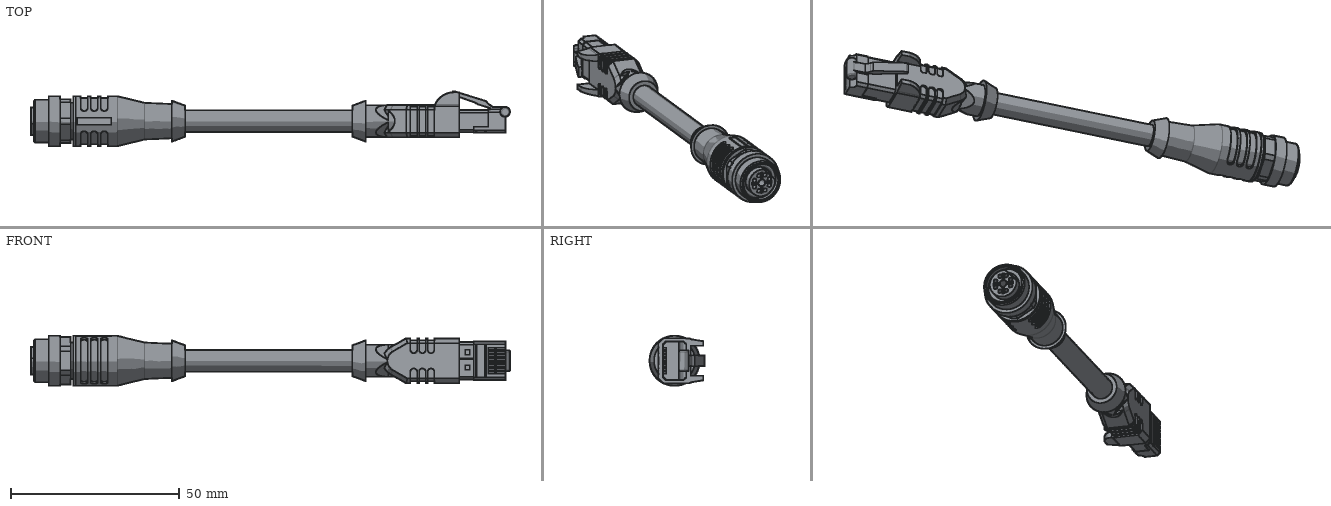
import cadquery as cq
import math

overall_length = 142.4
overall_depth = 16.4

insert_diameter = 8.3
key_flat_distance = 3.4
key_height = insert_diameter / 2 - key_flat_distance
key_length = 2.1
contact_count = 8
contact_diameter = 1.15
contact_circle_radius = 2.5
contact_depth = 4.3
centre_hole_diameter = 2.1
cross_span = 6.3
cross_width = 0.5
cross_depth = 0.4
shell_start = 0.9
shell_diameter = 12.8
shell_bore = 11.0
shell_chamfer = 0.4
seal_seat = 2.8
collar_start = 5.3
collar_diameter = 15.0
hex_start = 8.7
hex_flats = 13.1
hex_diameter = 14.2
neck_start = 11.8
neck_diameter = 11.0
grip_start = 12.5
grip_lip = 0.7
lip_groove_width = 0.1
lip_groove_depth = 0.07
grip_end = 25.6
taper_end = 33.7
taper_diameter = 11.0
tail_end = 41.9
tail_diameter = 10.3

cable_diameter = 6.5
cone_length = 4.0
cone_large_diameter = 12.2
cone_small_diameter = 9.3
plug_cone_start = 95.5

grip_slot_first = 15.8
grip_slot_pitch = 3.0
grip_slot_width = 2.1
grip_slot_edge = 3.0
grip_slot_floor_diameter = 13.8
panel_start = 13.8
panel_length = 10.1
panel_width = 2.0
panel_depth = 0.3

sleeve_diameter = 9.5
relief_start = 102.5
relief_end = 106.2
relief_angle = 18
boot_tip = 104.5
boot_shoulder = 106.8
boot_shoulder_half = 4.0
boot_full = 111.5
boot_end = 127.3
boot_half_height = 6.7
boot_half_width = 4.8
boot_chamfer = 1.4
boot_slot_first = 113.8
boot_slot_pitch = 2.5
boot_slot_width = 2.0
boot_slot_edge = 2.3
boot_slot_depth = 0.5

guard_start = 120.0
guard_crest = 124.7
guard_top = 8.5
guard_arc_middle = (121.9, 7.3)
guard_inner = 4.4
guard_outer_top = 5.8
guard_outer_base = 6.4
guard_flare_top = 5.0
guard_flare_base = 4.4
guard_root = 2.8

plug_end = 141.1
plug_half_height = 11.5 / 2
plug_half_width = 7.0 / 2
plug_chamfer = 0.9
shield_start = 131.6
shield_full = 136.0
shield_shelf = -1.7
core_recess = 0.1
plug_root = 1.4
band_start = 132.6
band_end = 135.3
band_groove_width = 0.4
band_half_height = 4.8
band_depth = 0.3
slot_count = 8
slot_pitch = 1.03
slot_start = 135.8
slot_width = 0.5
slot_depth = 1.0
bridge_centre = 138.1
bridge_width = 0.4
window_x = 129.7
window_places = (2.5, -2.0)
window_size = 1.4
window_depth = 0.4
seam_z = 0.5
seam_width = 0.21

latch_half_width = 1.5
lever_overlap = 0.1
lever_top = overall_depth - collar_diameter / 2
knob_radius = 3.0 / 2
knob_half_length = 3.1
knob_x = overall_length - knob_radius
knob_top = 4.3
knob_y = knob_top - knob_radius
knob_fillet = 0.4


def axis_cylinder(start, end, diameter):
    return cq.Workplane("YZ", origin=(start, 0, 0)).circle(diameter / 2).extrude(end - start)


def slot_row(first, pitch, width, inner_edge, outer_edge, half_depth):
    """Two facing rows of three slots, cut along Z, with round inner ends at +/- inner_edge."""
    length = 2 * (outer_edge - inner_edge)
    places = [(first + i * pitch, side * outer_edge) for i in range(3) for side in (-1, 1)]
    row = cq.Workplane("XY").pushPoints(places).slot2D(length, width, 90)
    return row.extrude(half_depth, both=True)


def make_turned_body():
    """Solid of revolution from the shell to the plug sleeve."""
    plug_cone_end = plug_cone_start + cone_length
    profile = [
        (shell_start, 0),
        (shell_start, shell_diameter / 2 - shell_chamfer),
        (shell_start + shell_chamfer, shell_diameter / 2),
        (collar_start, shell_diameter / 2),
        (collar_start, collar_diameter / 2),
        (hex_start, collar_diameter / 2),
        (hex_start, neck_diameter / 2),
        (grip_start, neck_diameter / 2),
        (grip_start, collar_diameter / 2),
        (grip_end, collar_diameter / 2),
        (taper_end, taper_diameter / 2),
        (tail_end, tail_diameter / 2),
        (tail_end, cone_large_diameter / 2),
        (tail_end + cone_length, cone_small_diameter / 2),
        (tail_end + cone_length, cable_diameter / 2),
        (plug_cone_start, cable_diameter / 2),
        (plug_cone_start, cone_small_diameter / 2),
        (plug_cone_end, cone_large_diameter / 2),
        (plug_cone_end, sleeve_diameter / 2),
        (boot_full, sleeve_diameter / 2),
        (boot_full, 0),
    ]
    return cq.Workplane("XY").polyline(profile).close().revolve(360, (0, 0, 0), (1, 0, 0))


def make_hex():
    """Hexagon with corners up and down, rounded off by a cylinder."""
    across_corners = hex_flats / math.cos(math.pi / 6)
    length = neck_start - hex_start
    hexagon = cq.Workplane("YZ", origin=(hex_start, 0, 0)).transformed(rotate=(0, 0, 90))
    hexagon = hexagon.polygon(6, across_corners).extrude(length)
    return hexagon.intersect(axis_cylinder(hex_start, neck_start, hex_diameter))


def make_ring_groove():
    """Annular groove around the insert whose floor is the round crown of a seal."""
    inner = insert_diameter / 2
    outer = shell_bore / 2
    seal_radius = (outer - inner) / 2
    return (
        cq.Workplane("XY")
        .moveTo(shell_start, inner)
        .lineTo(seal_seat, inner)
        .threePointArc((seal_seat - seal_radius, inner + seal_radius), (seal_seat, outer))
        .lineTo(shell_start, outer)
        .close()
        .revolve(360, (0, 0, 0), (1, 0, 0))
    )


def make_key_flat():
    """Keying flat on one diagonal of the insert, down to the seal."""
    key = cq.Workplane("XY").box(key_length, insert_diameter, key_height, centered=(False, True, False))
    key = key.translate((0, 0, key_flat_distance)).rotate((0, 0, 0), (1, 0, 0), 45)
    return key.intersect(axis_cylinder(0, key_length, insert_diameter))


def make_contact_cuts():
    """Ring of contact holes around a centre hole, parted by a shallow shield cross."""
    half_step = 180 / contact_count
    contacts = (
        cq.Workplane("YZ")
        .polarArray(contact_circle_radius, half_step, 360, contact_count)
        .circle(contact_diameter / 2)
        .extrude(contact_depth)
    )
    cross = cq.Workplane("YZ").rect(cross_span, cross_width).extrude(cross_depth)
    cross = cross.union(cross.rotate((0, 0, 0), (1, 0, 0), 90))
    return contacts.union(cross).union(axis_cylinder(0, contact_depth, centre_hole_diameter))


def make_grip_cuts():
    """Finger slots, marking panel and the fine groove behind the front lip."""
    slots = slot_row(
        grip_slot_first, grip_slot_pitch, grip_slot_width, grip_slot_edge, collar_diameter, collar_diameter
    )
    slots = slots.cut(axis_cylinder(grip_start, grip_end, grip_slot_floor_diameter))
    panel = cq.Workplane("XY").box(panel_length, panel_width, panel_depth, centered=(False, True, False))
    panel = panel.translate((panel_start, 0, collar_diameter / 2 - panel_depth))
    groove_start = grip_start + grip_lip
    lip_groove = axis_cylinder(groove_start, groove_start + lip_groove_width, collar_diameter)
    lip_groove = lip_groove.cut(axis_cylinder(grip_start, grip_end, collar_diameter - 2 * lip_groove_depth))
    return slots.union(panel).union(lip_groove)


def make_sleeve_reliefs():
    """Four flats that slope down into the sleeve, one on each diagonal."""
    size = sleeve_diameter
    flat = (
        cq.Workplane("XY")
        .box(size, size, size, centered=(False, True, False))
        .rotate((0, 0, 0), (0, 1, 0), relief_angle)
        .translate((relief_start, 0, sleeve_diameter / 2))
        .intersect(axis_cylinder(relief_start, relief_end, 2 * sleeve_diameter))
    )
    flats = cq.Workplane("XY")
    for diagonal in (45, 135, 225, 315):
        flats = flats.union(flat.rotate((0, 0, 0), (1, 0, 0), diagonal))
    return flats


def boot_block(inset):
    """Chamfered boot with a round-nosed, tapered front; inset shrinks its height, width and chamfer."""
    half_height = boot_half_height - inset
    half_width = boot_half_width - inset
    outline = (
        cq.Workplane("XZ")
        .moveTo(boot_end, half_height)
        .lineTo(boot_full, half_height)
        .lineTo(boot_shoulder, boot_shoulder_half)
        .threePointArc((boot_tip, 0), (boot_shoulder, -boot_shoulder_half))
        .lineTo(boot_full, -half_height)
        .lineTo(boot_end, -half_height)
        .close()
        .extrude(half_width, both=True)
    )
    return outline.faces("<Y or >Y").edges("not(>X)").chamfer(boot_chamfer - inset)


def make_boot():
    """Boot with finger slots down to a slightly smaller inner block."""
    slots = slot_row(
        boot_slot_first,
        boot_slot_pitch,
        boot_slot_width,
        boot_slot_edge,
        2 * boot_half_height,
        2 * boot_half_width,
    )
    slots = slots.rotate((0, 0, 0), (1, 0, 0), 90)
    return boot_block(0).cut(slots.cut(boot_block(boot_slot_depth)))


def make_guards():
    """Two upright guards, rounded at the front, whose outer sides flare into the boot."""
    side_shape = (
        cq.Workplane("XY")
        .moveTo(guard_start, guard_root)
        .lineTo(guard_start, boot_half_width)
        .threePointArc(guard_arc_middle, (guard_crest, guard_top))
        .lineTo(boot_end, guard_top)
        .lineTo(boot_end, guard_root)
        .close()
        .extrude(boot_half_height)
    )
    section = [
        (guard_root, guard_inner),
        (guard_top, guard_inner),
        (guard_top, guard_outer_top),
        (guard_flare_top, guard_outer_base),
        (guard_flare_base, boot_half_height),
        (guard_root, boot_half_height),
    ]
    section = cq.Workplane("YZ", origin=(guard_start, 0, 0)).polyline(section).close()
    guard = side_shape.intersect(section.extrude(boot_end - guard_start))
    return guard.union(guard.mirror("XY"))


def plug_box(start, end, recess):
    """Chamfered bar of the plug section, shrunk by the recess on every side."""
    bar = cq.Workplane("YZ", origin=(start, 0, 0))
    bar = bar.rect(2 * (plug_half_width - recess), 2 * (plug_half_height - recess)).extrude(end - start)
    return bar.edges("|X").chamfer(plug_chamfer)


def face_cut(x_start, x_end, z_centre, height, depth):
    """Pocket sunk into the -Y face of the plug."""
    pocket = cq.Workplane("XY").box(x_end - x_start, depth, height, centered=(False, False, True))
    return pocket.translate((x_start, -plug_half_width, z_centre))


def make_plug():
    """Plug core with its stepped shield, contact slots, windows and seam on the -Y face."""
    core = plug_box(boot_end - plug_root, shield_full, core_recess)
    shield = plug_box(shield_start, plug_end, 0)
    step = cq.Workplane("XY").box(
        shield_full - shield_start, 2 * plug_half_width, 2 * plug_half_height, centered=(False, False, True)
    )
    plug = shield.cut(step.translate((shield_start, shield_shelf, 0))).union(core)

    for start in (band_start, band_end):
        plug = plug.cut(
            face_cut(start - band_groove_width, start, 0, 2 * band_half_height, band_depth)
        )
    for i in range(slot_count):
        z = (i - (slot_count - 1) / 2) * slot_pitch
        plug = plug.cut(face_cut(slot_start, bridge_centre - bridge_width / 2, z, slot_width, slot_depth))
        plug = plug.cut(face_cut(bridge_centre + bridge_width / 2, plug_end, z, slot_width, slot_depth))
    for z in window_places:
        plug = plug.cut(
            face_cut(window_x - window_size / 2, window_x + window_size / 2, z, window_size, window_depth)
        )
    knob_seat = cq.Workplane("XY").center(knob_x, knob_y).circle(knob_radius)
    plug = plug.cut(knob_seat.extrude(plug_half_height, both=True))
    return plug.cut(face_cut(boot_end, shield_start, seam_z, seam_width, 2 * core_recess))


def make_latch():
    """Sloping lever that rises from the plug nose to a free end between the guards."""
    lever = [
        (125.3, lever_top),
        (125.9, lever_top),
        (135.3, 6.0),
        (136.0, 5.1),
        (137.3, knob_top),
        (knob_x, knob_top),
        (knob_x, knob_y),
        (136.4, plug_half_width - lever_overlap),
        (136.4, 3.8),
        (132.9, 5.0),
        (131.9, 5.5),
        (125.3, 7.8),
    ]
    lever = cq.Workplane("XY").polyline(lever).close().extrude(latch_half_width, both=True)
    knob = cq.Workplane("XY").center(knob_x, knob_y).circle(knob_radius)
    knob = knob.extrude(knob_half_length, both=True)
    return lever.union(knob.edges().fillet(knob_fillet))


result = (
    make_turned_body()
    .union(make_hex())
    .cut(make_ring_groove())
    .union(axis_cylinder(0, shell_start, insert_diameter))
    .cut(make_key_flat())
    .cut(make_contact_cuts())
    .cut(make_grip_cuts())
    .cut(make_sleeve_reliefs())
    .union(make_boot())
    .union(make_guards())
    .union(make_plug())
    .union(make_latch())
)